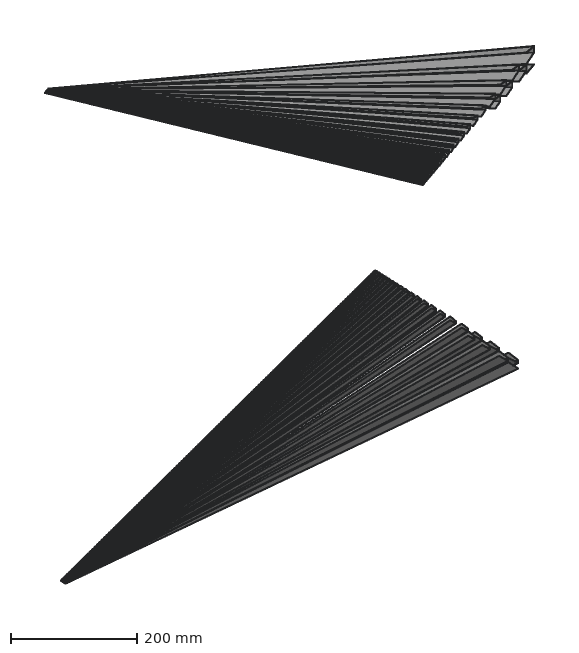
import cadquery as cq

fan_length = 730.0
apex_to_narrow_end = 25.0
narrow_scale = apex_to_narrow_end / (apex_to_narrow_end + fan_length)

sheet = 0.8

channel_count = 20
first_channel_y = 308.0
pitch_limit = 4.4
pitch_decay = 0.84
first_pitch_excess = 37.8
width_to_pitch = 0.46
extra_width = 2.2
overall_width = 313.6
last_channel_end_y = first_channel_y - overall_width

foot_line_slope = 0.377
first_foot_z = 137.38
first_wall_height = 11.6
last_wall_height = 4.6

first_top_slope = 0.17
top_slope_step = 0.022
lip_slope = 0.58

lower_channel_count = 3
lower_wall_height = 11.6
lower_lip_slope = 0.54

base_strip_z = 117.5

root_thickness = 1.5


def scale_at(x):
    """Section scale at distance x from the narrow end."""
    return narrow_scale + (1 - narrow_scale) * x / fan_length


def flat_face(corners):
    return cq.Face.makeFromWires(cq.Wire.makePolygon(corners, close=True))


def ray_solid(section, x_end=fan_length):
    """Flat-faced taper of a wide-end (y, z) section from the narrow end to x_end."""
    narrow, wide = [
        [cq.Vector(x, y * scale_at(x), z * scale_at(x)) for y, z in section] for x in (0.0, x_end)
    ]
    faces = [flat_face(narrow), flat_face(wide)]
    for i in range(len(section)):
        faces.append(flat_face([narrow[i - 1], narrow[i], wide[i], wide[i - 1]]))
    return cq.Workplane(cq.Solid.makeSolid(cq.Shell.makeShell(faces)))


def channel_section(y, top_z, width, wall_height, top_slope, bottom_slope):
    """Folded sheet open toward -Y: top flange, vertical back wall at y, sloping lower lip."""
    open_y = y - width
    inner_y = y - sheet
    foot_z = top_z - wall_height
    top_drop = top_slope * width
    lip_drop = bottom_slope * width
    return [
        (y, top_z),
        (open_y, top_z - top_drop),
        (open_y, top_z - top_drop - sheet),
        (inner_y, top_z - top_slope * sheet - sheet),
        (inner_y, foot_z - bottom_slope * sheet + sheet),
        (open_y, foot_z - lip_drop + sheet),
        (open_y, foot_z - lip_drop),
        (y, foot_z),
    ]


def pitch(index):
    """Distance in Y from one upper channel to the next."""
    return pitch_limit + first_pitch_excess * pitch_decay**index


def channel_y(index):
    """Y of the back wall of an upper channel."""
    return first_channel_y - sum(pitch(i) for i in range(index))


def channel_width(index):
    """Reach of an upper channel in -Y; the last one ends at the edge of the fan."""
    if index == channel_count - 1:
        return channel_y(index) - last_channel_end_y
    return extra_width + width_to_pitch * pitch(index)


def foot_z(index):
    return first_foot_z - foot_line_slope * (first_channel_y - channel_y(index))


def wall_height(index):
    last_y = channel_y(channel_count - 1)
    share = (channel_y(index) - last_y) / (first_channel_y - last_y)
    return last_wall_height + (first_wall_height - last_wall_height) * share


def top_z(index):
    return foot_z(index) + wall_height(index)


def upper_channel(index):
    top_slope = first_top_slope - top_slope_step * index
    section = channel_section(
        channel_y(index), top_z(index), channel_width(index), wall_height(index), top_slope, lip_slope
    )
    return ray_solid(section)


def root_web():
    """Thin web across the back walls of all upper channels at the narrow end."""
    last = channel_count - 1
    section = [
        (channel_y(0), top_z(0)),
        (channel_y(0), foot_z(0)),
        (channel_y(last), foot_z(last)),
        (channel_y(last), top_z(last)),
    ]
    return ray_solid(section, root_thickness)


def fan_body():
    """All upper channels joined by the root web."""
    channels = [upper_channel(index).val() for index in range(channel_count)]
    return cq.Workplane(root_web().val().fuse(*channels))


def lower_channel(index):
    """Channel from the lip of one upper channel to the foot of the next one's back wall."""
    y = channel_y(index) - channel_width(index)
    width = y - channel_y(index + 1)
    start_z = foot_z(index) - lip_slope * channel_width(index)
    top_slope = (start_z - foot_z(index + 1)) / width
    section = channel_section(y, start_z, width, lower_wall_height, top_slope, lower_lip_slope)
    return ray_solid(section)


def base_strip():
    """Flat strip parallel to the line of back-wall feet, as wide as the first channel."""
    width = channel_width(0)
    drop = foot_line_slope * width
    y = first_channel_y
    section = [
        (y, base_strip_z),
        (y - width, base_strip_z - drop),
        (y - width, base_strip_z - drop - sheet),
        (y, base_strip_z - sheet),
    ]
    return ray_solid(section)


fan = fan_body()
lower_channels = [lower_channel(index) for index in range(lower_channel_count)]
base = base_strip()

result = cq.Compound.makeCompound(
    [fan.val(), *[channel.val() for channel in lower_channels], base.val()]
)